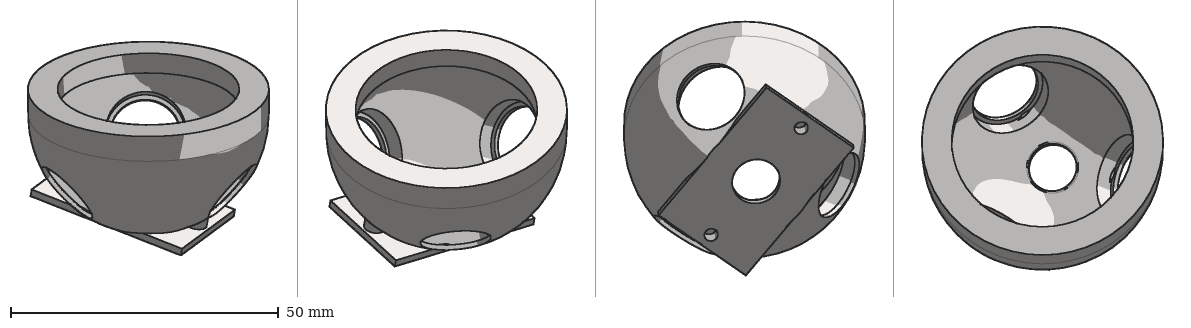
import cadquery as cq
import math

OUTER_DIAMETER = 45
INNER_DIAMETER = 38.0
RIM_HEIGHT = 5.0
RIM_OPENING_DIAMETER = 33.9
RIM_LIP_HEIGHT = 4.0

PORT_COUNT = 3
PORT_TILT = 34
PORT_DIAMETER = 13.2
PORT_SEAT_DIAMETER = 15.0
PORT_LIP = 1.0

PLATE_LEAN = 10
PLATE_DISTANCE = 19.8
PLATE_LENGTH = 32.3
PLATE_WIDTH = 21.0
PLATE_THICKNESS = 1.45
CENTER_HOLE_DIAMETER = 9

POST_SPACING = 27
POST_DIAMETER = 4.0
SCREW_HOLE_DIAMETER = 2.5
SCREW_HOLE_DEPTH = 3.0

outer_radius = OUTER_DIAMETER / 2
inner_radius = INNER_DIAMETER / 2
port_radius = PORT_DIAMETER / 2
port_mouth_distance = math.sqrt(outer_radius**2 - port_radius**2)
port_seat_distance = port_mouth_distance - PORT_LIP
post_top = -math.sqrt(inner_radius**2 - (POST_SPACING / 2) ** 2)
hollow_top = RIM_HEIGHT - RIM_LIP_HEIGHT


def lean(body):
    """Swing a body built about the Z axis onto the plate axis."""
    return body.rotate((0, 0, 0), (0, 1, 0), PLATE_LEAN)


def cylinder(diameter, start, end, x=0):
    """Vertical cylinder between two heights."""
    return cq.Workplane("XY", origin=(x, 0, start)).circle(diameter / 2).extrude(end - start)


def make_bowl():
    ball = cq.Workplane("XY").sphere(outer_radius)
    lower_half = cylinder(OUTER_DIAMETER, -outer_radius, 0)
    rim = cylinder(OUTER_DIAMETER, 0, RIM_HEIGHT)
    return ball.intersect(lower_half).union(rim)


def make_port(turn):
    bore = cylinder(PORT_DIAMETER, 0, OUTER_DIAMETER)
    seat = cylinder(PORT_SEAT_DIAMETER, 0, port_seat_distance)
    port = bore.union(seat).rotate((0, 0, 0), (0, 1, 0), 90 + PORT_TILT)
    return port.rotate((0, 0, 0), (0, 0, 1), turn)


def make_plate():
    return (
        cq.Workplane("XY", origin=(0, 0, -PLATE_DISTANCE))
        .rect(PLATE_LENGTH, PLATE_WIDTH)
        .extrude(PLATE_THICKNESS)
    )


def make_screw_hole(x):
    face = -PLATE_DISTANCE
    return cylinder(SCREW_HOLE_DIAMETER, face, face + SCREW_HOLE_DEPTH, x)


post_places = (-POST_SPACING / 2, POST_SPACING / 2)

bowl = make_bowl()
below_plate = cylinder(2 * OUTER_DIAMETER, -OUTER_DIAMETER, -PLATE_DISTANCE)
bowl = bowl.cut(lean(below_plate))

for x in post_places:
    bowl = bowl.union(lean(cylinder(POST_DIAMETER, -PLATE_DISTANCE, post_top, x)))

for index in range(PORT_COUNT):
    bowl = bowl.cut(make_port(index * 360 / PORT_COUNT))

hollow = cq.Workplane("XY").sphere(inner_radius)
hollow = hollow.intersect(cylinder(OUTER_DIAMETER, -outer_radius, hollow_top))
bowl = bowl.cut(hollow)
bowl = bowl.cut(cylinder(RIM_OPENING_DIAMETER, 0, RIM_HEIGHT))

result = bowl.union(lean(make_plate()))
result = result.cut(lean(cylinder(CENTER_HOLE_DIAMETER, -OUTER_DIAMETER, 0)))
for x in post_places:
    result = result.cut(lean(make_screw_hole(x)))